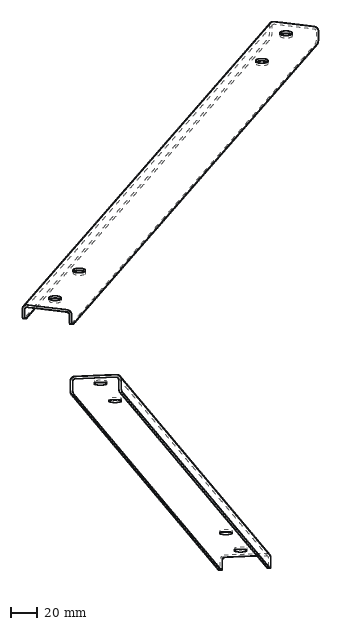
import cadquery as cq

length = 615.0
width = 40.0
height = 13.0
thickness = 2.0
outer_bend_radius = 4.0
inner_bend_radius = outer_bend_radius - thickness

flange_corner_radius = 4.0

hole_diameter = 9.5
end_to_outer_hole = 20.0
hole_pair_spacing = 60.0


def bent_block(block_width, block_height, bend_radius):
    """Bar along Y standing on Z = 0, with its two long top edges rounded."""
    block = cq.Workplane("XY").box(block_width, length, block_height, centered=(True, True, False))
    return block.edges("|Y and >Z").fillet(bend_radius)


def channel():
    """Constant-thickness U channel, open downwards."""
    outside = bent_block(width, height, outer_bend_radius)
    inside = bent_block(width - 2 * thickness, height - thickness, inner_bend_radius)
    return outside.cut(inside)


def round_flange_corners(body):
    """Round the lower corner at each end of each flange."""
    return body.edges("|X and <Z").fillet(flange_corner_radius)


def mounting_holes():
    """Cylinders that pierce the web on the channel's centre line."""
    outer_y = length / 2 - end_to_outer_hole
    inner_y = outer_y - hole_pair_spacing
    centres = [(0, end * y) for end in (-1, 1) for y in (inner_y, outer_y)]
    return cq.Workplane("XY").pushPoints(centres).circle(hole_diameter / 2).extrude(height)


result = round_flange_corners(channel()).cut(mounting_holes())